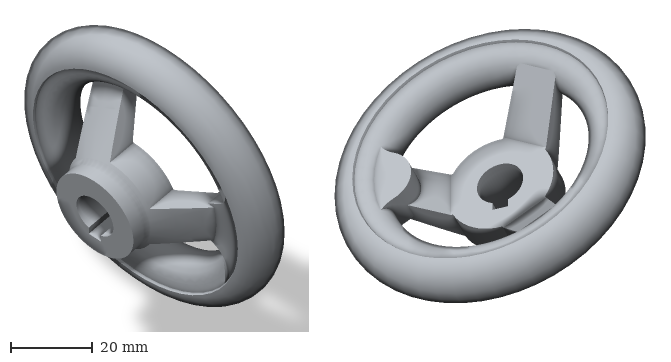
import cadquery as cq
import math


wheel_radius = 40.0
rim_thickness = 14.0
wheel_depth = 28.95
tube_radius = rim_thickness / 2
rim_radius = wheel_radius - tube_radius
rim_front = wheel_depth - rim_thickness
rim_middle = rim_front + tube_radius
rim_inner_radius = rim_radius - tube_radius
groove_radius = 33.3
step_depth = 0.7
bevel_inner_radius = 30.95
bevel_depth = 1.2

nose_radius = 25.0 / 2
nose_length = 3.8
hub_radius = 13.8
hub_back = rim_front
neck_fillet = 2.4
bore_diameter = 12.0
keyway_width = 4.0
keyway_reach = 7.8

cone_angle = math.radians(43.2)
neck_radius = nose_radius + neck_fillet * (1 - math.cos(cone_angle))
neck_end = nose_length + neck_fillet * math.sin(cone_angle)

spoke_count = 3
spoke_root_half_width = 6.4
spoke_tip_half_width = 5.75
spoke_root = 12.8
spoke_tip = rim_inner_radius + 1.6
spoke_back_at_root = rim_front
spoke_back_slope = 0.775

pad_front = 17.3
pad_back = 26.7
pad_wall_radius = 32.95
boss_center = 26.8
boss_radius = 8.0
pad_blend_radius = 8.8
pad_blend_x = 19.5
pad_blend_z = math.sqrt((boss_radius + pad_blend_radius) ** 2 - (boss_center - pad_blend_x) ** 2)


def cone_y(radius):
    """Axial position of the cone surface at a given radius."""
    return neck_end + (radius - neck_radius) / math.tan(cone_angle)


def revolve(profile):
    """Turn a closed (radius, Y) profile about the wheel axis."""
    return profile.close().revolve(360, (0, 0, 0), (0, 1, 0))


def extrude_y(sketch, front, back):
    """Extrude an XZ sketch from the front to the back Y position."""
    return sketch.extrude(front - back).translate((0, front, 0))


def make_rim():
    return revolve(
        cq.Workplane("XY")
        .moveTo(groove_radius, rim_front)
        .threePointArc((wheel_radius, rim_middle), (groove_radius, wheel_depth))
        .lineTo(rim_radius, wheel_depth - step_depth)
        .lineTo(bevel_inner_radius, wheel_depth - bevel_depth)
        .threePointArc((rim_inner_radius, rim_middle), (bevel_inner_radius, rim_front + bevel_depth))
        .lineTo(rim_radius, rim_front + step_depth)
    )


def make_nose():
    """Front end of the hub, flaring with a fillet into the cone."""
    half_angle = cone_angle / 2
    fillet_middle = (
        nose_radius + neck_fillet * (1 - math.cos(half_angle)),
        nose_length + neck_fillet * math.sin(half_angle),
    )
    return revolve(
        cq.Workplane("XY")
        .lineTo(nose_radius, 0)
        .lineTo(nose_radius, nose_length)
        .threePointArc(fillet_middle, (neck_radius, neck_end))
        .lineTo(0, neck_end)
    )


def make_spoke():
    """Tapered +X spoke with a sloping flat back, not yet trimmed to the cone."""
    tip_back = spoke_back_at_root + spoke_back_slope * (spoke_tip - spoke_root)
    outline = (
        cq.Workplane("XZ")
        .moveTo(spoke_root, -spoke_root_half_width)
        .lineTo(spoke_tip, -spoke_tip_half_width)
        .lineTo(spoke_tip, spoke_tip_half_width)
        .lineTo(spoke_root, spoke_root_half_width)
        .lineTo(0, spoke_root_half_width)
        .lineTo(0, -spoke_root_half_width)
        .close()
    )
    side = (
        cq.Workplane("XY")
        .lineTo(spoke_tip, 0)
        .lineTo(spoke_tip, tip_back)
        .lineTo(spoke_root, spoke_back_at_root)
        .lineTo(0, spoke_back_at_root)
        .close()
        .extrude(spoke_root_half_width, both=True)
    )
    return extrude_y(outline, 0, wheel_depth).intersect(side)


def make_center():
    """Hub and spokes, trimmed together to one conical front, with the hub nose added."""
    center = extrude_y(cq.Workplane("XZ").circle(hub_radius), 0, hub_back)
    spoke = make_spoke()
    for index in range(spoke_count):
        center = center.union(spoke.rotate((0, 0, 0), (0, 1, 0), index * 360 / spoke_count))
    outer_radius = math.hypot(spoke_tip, spoke_tip_half_width)
    cone_body = revolve(
        cq.Workplane("XY")
        .moveTo(0, neck_end)
        .lineTo(neck_radius, neck_end)
        .lineTo(outer_radius, cone_y(outer_radius))
        .lineTo(outer_radius, wheel_depth)
        .lineTo(0, wheel_depth)
    )
    return center.intersect(cone_body).union(make_nose())


def make_pad(front, back):
    """Round boss blended outwards into the rim, limited to the inner half of the rim."""
    share = boss_radius / (boss_radius + pad_blend_radius)
    joint_x = boss_center + share * (pad_blend_x - boss_center)
    joint_z = share * pad_blend_z
    blend_edge_x = pad_blend_x + pad_blend_radius
    middle_angle = math.atan2(joint_z - pad_blend_z, joint_x - pad_blend_x) / 2
    middle_x = pad_blend_x + pad_blend_radius * math.cos(middle_angle)
    middle_z = pad_blend_z + pad_blend_radius * math.sin(middle_angle)
    rim_z = math.sqrt(pad_wall_radius**2 - blend_edge_x**2)
    outline = (
        cq.Workplane("XZ")
        .moveTo(blend_edge_x, rim_z)
        .lineTo(blend_edge_x, pad_blend_z)
        .threePointArc((middle_x, middle_z), (joint_x, joint_z))
        .threePointArc((boss_center - boss_radius, 0), (joint_x, -joint_z))
        .threePointArc((middle_x, -middle_z), (blend_edge_x, -pad_blend_z))
        .lineTo(blend_edge_x, -rim_z)
        .threePointArc((pad_wall_radius, 0), (blend_edge_x, rim_z))
        .close()
    )
    return extrude_y(outline, front, back)


def make_bore():
    bore = extrude_y(cq.Workplane("XZ").circle(bore_diameter / 2), 0, wheel_depth)
    keyway = extrude_y(
        cq.Workplane("XZ").center(0, -keyway_reach / 2).rect(keyway_width, keyway_reach),
        0,
        wheel_depth,
    )
    return bore.union(keyway)


result = make_rim().union(make_pad(pad_front, pad_back)).cut(make_pad(0, pad_front))
result = result.union(make_center()).cut(make_bore())